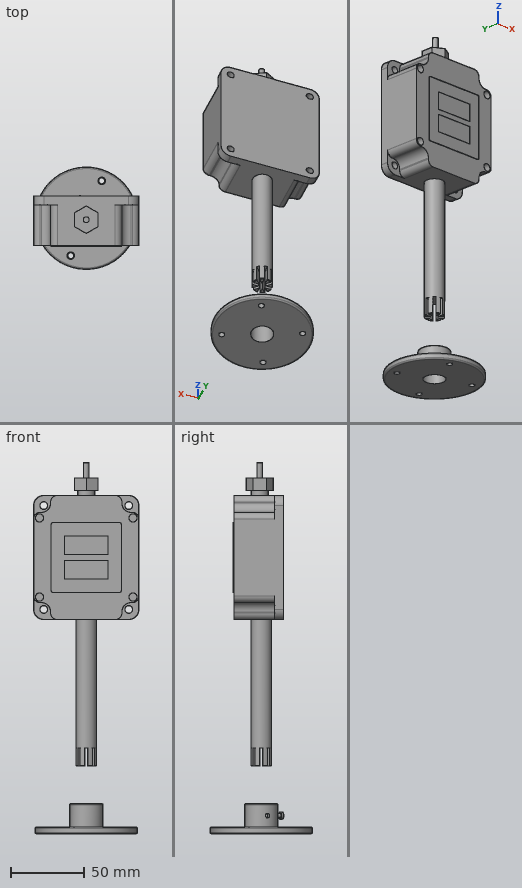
import cadquery as cq
import math

FLANGE_RADIUS = 35.0
FLANGE_THICKNESS = 4.5
FLANGE_EDGE_FILLET = 1.0
COLLAR_RADIUS = 11.5
COLLAR_TOP = 20.5
COLLAR_EDGE_FILLET = 0.8
COLLAR_BORE_RADIUS = 7.9
FLANGE_TURN = -22.5
FLANGE_HOLE_COUNT = 4
FLANGE_HOLE_CIRCLE_RADIUS = 27.7
FLANGE_HOLE_RADIUS = 2.0
FLANGE_HOLE_CHAMFER = 0.5
COUNTERSINK_TAPER = 45

SCREW_ANGLES = (22.5, 112.5)
FITTED_SCREW_ANGLE = SCREW_ANGLES[1]
SCREW_Z = 12.5
SCREW_RADIUS = 1.5
SCREW_HEAD_RADIUS = 2.5
SCREW_HEAD_START = 14.0
SCREW_HEAD_END = 16.0
SCREW_HEAD_FILLET = 0.8

PROBE_RADIUS = 7.0
PROBE_SHOULDER_Z = 58.5
PROBE_TIP_BOTTOM = 46.2
PROBE_TIP_CHAMFER = 0.5
SLOT_WIDTH = 2.0
SLOT_COUNT = 8

HOUSING_WIDTH = 72.0
HOUSING_HEIGHT = 85.0
HOUSING_BOTTOM = 146.5
HOUSING_BACK = 15.2
HOUSING_FRONT = -18.8
PLATE_THICKNESS = 6.0
PLATE_CORNER_RADIUS = 7.0
MOUNT_HOLE_RADIUS = 2.5
MOUNT_HOLE_INSET = 6.98
NOTCH_SIZE = 11.7
NOTCH_INNER_RADIUS = 6.3
NOTCH_OUTER_RADIUS = 4.5
LID_HOLE_RADIUS = 2.8
LID_HOLE_SIDE_INSET = 4.0
LID_HOLE_END_INSET = 15.5

PANEL_SIZE = 48.0
PANEL_THICKNESS = 0.5
PANEL_CORNER_RADIUS = 1.5
WINDOW_WIDTH = 30.0
WINDOW_HEIGHT = 13.0
WINDOW_PITCH = 16.7
WINDOW_DEPTH = 0.3

GLAND_Y = -1.0
GLAND_STEM_RADIUS = 5.95
GLAND_NUT_FLATS = 16.2
GLAND_NUT_BOTTOM = 234.7
GLAND_NUT_TOP = 243.3
CABLE_RADIUS = 2.0
CABLE_TOP = 253.7

HOUSING_CENTRE_Z = HOUSING_BOTTOM + HOUSING_HEIGHT / 2
HOUSING_TOP = HOUSING_BOTTOM + HOUSING_HEIGHT
HALF_WIDTH = HOUSING_WIDTH / 2
HALF_HEIGHT = HOUSING_HEIGHT / 2
PLATE_FRONT = HOUSING_BACK - PLATE_THICKNESS
BODY_DEPTH = PLATE_FRONT - HOUSING_FRONT


def cylinder(radius, bottom, top, y=0):
    return cq.Workplane("XY", origin=(0, y, bottom)).circle(radius).extrude(top - bottom)


def turned(shape, angle):
    """Shape turned about the Z axis by an angle in degrees."""
    return shape.rotate((0, 0, 0), (0, 0, 1), angle)


def radial_rod(radius, start, end, angle, end_fillet=0):
    """Rod along a radius at the screw height, at an angle in degrees from +X."""
    rod = cq.Workplane("YZ", origin=(start, 0, SCREW_Z)).circle(radius).extrude(end - start)
    if end_fillet > 0:
        rod = rod.faces(">X").edges().fillet(end_fillet)
    return turned(rod, angle)


def front_plane(y):
    """Plane at depth y, centred on the housing, with its normal toward -Y."""
    return cq.Workplane("XZ", origin=(0, y, HOUSING_CENTRE_Z))


def make_flange():
    disc = cylinder(FLANGE_RADIUS, 0, FLANGE_THICKNESS).edges().fillet(FLANGE_EDGE_FILLET)
    collar = cylinder(COLLAR_RADIUS, 0, COLLAR_TOP).faces(">Z").edges().fillet(COLLAR_EDGE_FILLET)
    flange = disc.union(collar).cut(cylinder(COLLAR_BORE_RADIUS, 0, COLLAR_TOP))
    countersunk_hole = cylinder(FLANGE_HOLE_RADIUS, 0, FLANGE_THICKNESS).union(
        cq.Workplane("XY", origin=(0, 0, FLANGE_THICKNESS))
        .circle(FLANGE_HOLE_RADIUS + FLANGE_HOLE_CHAMFER)
        .extrude(-FLANGE_HOLE_CHAMFER, taper=COUNTERSINK_TAPER)
    )
    for number in range(FLANGE_HOLE_COUNT):
        hole = countersunk_hole.translate((FLANGE_HOLE_CIRCLE_RADIUS, 0, 0))
        angle = FLANGE_TURN + number * 360 / FLANGE_HOLE_COUNT
        flange = flange.cut(turned(hole, angle))
    for angle in SCREW_ANGLES:
        flange = flange.cut(radial_rod(SCREW_RADIUS, 0, SCREW_HEAD_START, angle))
    return flange


def make_clamp_screw():
    shank = radial_rod(SCREW_RADIUS, COLLAR_BORE_RADIUS, SCREW_HEAD_START, FITTED_SCREW_ANGLE)
    head = radial_rod(
        SCREW_HEAD_RADIUS, SCREW_HEAD_START, SCREW_HEAD_END, FITTED_SCREW_ANGLE, SCREW_HEAD_FILLET
    )
    return shank.union(head)


def make_probe():
    tip = cylinder(PROBE_RADIUS, PROBE_TIP_BOTTOM, PROBE_SHOULDER_Z)
    tip = tip.faces("<Z").edges().chamfer(PROBE_TIP_CHAMFER)
    slot = (
        cq.Workplane("XY", origin=(0, 0, PROBE_TIP_BOTTOM))
        .rect(2 * PROBE_RADIUS, SLOT_WIDTH).extrude(PROBE_SHOULDER_Z - PROBE_TIP_BOTTOM)
    )
    for number in range(SLOT_COUNT // 2):
        tip = tip.cut(turned(slot, number * 360 / SLOT_COUNT))
    return cylinder(PROBE_RADIUS, PROBE_SHOULDER_Z, HOUSING_BOTTOM).union(tip)


def corner_points(side_inset, end_inset):
    """The four points at these insets from the housing sides and ends."""
    x = HALF_WIDTH - side_inset
    z = HALF_HEIGHT - end_inset
    return [(-x, -z), (x, -z), (x, z), (-x, z)]


def make_rounded_bar(width, height):
    bar = front_plane(PLATE_FRONT).rect(width, height).extrude(BODY_DEPTH)
    return bar.edges("|Y").fillet(NOTCH_OUTER_RADIUS)


def make_notched_body():
    """Front part of the housing, a cross with rounded notches at its four corners."""
    upright = make_rounded_bar(HOUSING_WIDTH - 2 * NOTCH_SIZE, HOUSING_HEIGHT)
    crossbar = make_rounded_bar(HOUSING_WIDTH, HOUSING_HEIGHT - 2 * NOTCH_SIZE)
    cross = upright.union(crossbar)
    inner_corners = cq.selectors.BoxSelector(
        (-HALF_WIDTH + NOTCH_SIZE / 2, HOUSING_FRONT, HOUSING_BOTTOM + NOTCH_SIZE / 2),
        (HALF_WIDTH - NOTCH_SIZE / 2, PLATE_FRONT, HOUSING_TOP - NOTCH_SIZE / 2),
    )
    return cross.edges("|Y").edges(inner_corners).fillet(NOTCH_INNER_RADIUS)


def make_display_panel():
    panel = (
        front_plane(HOUSING_FRONT).rect(PANEL_SIZE, PANEL_SIZE).extrude(PANEL_THICKNESS)
        .edges("|Y").fillet(PANEL_CORNER_RADIUS)
    )
    windows = (
        front_plane(HOUSING_FRONT - PANEL_THICKNESS).rarray(2.5, WINDOW_PITCH, 1, 2)
        .rect(WINDOW_WIDTH, WINDOW_HEIGHT).extrude(-WINDOW_DEPTH)
    )
    return panel.cut(windows)


def make_gland_and_cable():
    stem = cylinder(GLAND_STEM_RADIUS, HOUSING_TOP, GLAND_NUT_BOTTOM, GLAND_Y)
    nut_corner_diameter = GLAND_NUT_FLATS / math.cos(math.pi / 6)
    nut = (
        cq.Workplane("XY", origin=(0, GLAND_Y, GLAND_NUT_BOTTOM))
        .transformed(rotate=(0, 0, 90)).polygon(6, nut_corner_diameter)
        .extrude(GLAND_NUT_TOP - GLAND_NUT_BOTTOM)
    )
    cable = cylinder(CABLE_RADIUS, GLAND_NUT_TOP, CABLE_TOP, GLAND_Y)
    return stem.union(nut).union(cable)


def make_housing():
    plate = (
        front_plane(HOUSING_BACK).rect(HOUSING_WIDTH, HOUSING_HEIGHT).extrude(PLATE_THICKNESS)
        .edges("|Y").fillet(PLATE_CORNER_RADIUS)
    )
    mount_holes = (
        front_plane(HOUSING_BACK).pushPoints(corner_points(MOUNT_HOLE_INSET, MOUNT_HOLE_INSET))
        .circle(MOUNT_HOLE_RADIUS).extrude(PLATE_THICKNESS)
    )
    lid_holes = (
        front_plane(HOUSING_FRONT).pushPoints(corner_points(LID_HOLE_SIDE_INSET, LID_HOLE_END_INSET))
        .circle(LID_HOLE_RADIUS).extrude(-BODY_DEPTH)
    )
    housing = plate.cut(mount_holes).union(make_notched_body().cut(lid_holes))
    return housing.union(make_display_panel()).union(make_gland_and_cable())


housing = make_housing()
probe = make_probe()
flange = make_flange()
clamp_screw = make_clamp_screw()

result = cq.Compound.makeCompound([housing.val(), probe.val(), flange.val(), clamp_screw.val()])